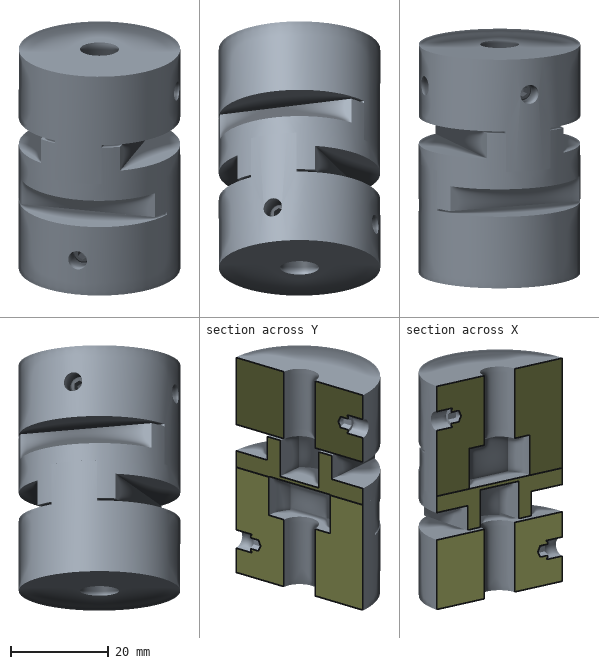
import cadquery as cq
import math

COUPLING_LENGTH = 48.0
COUPLING_DIAMETER = 33.3
RADIUS = COUPLING_DIAMETER / 2

HUB_LENGTH = 15.0
BORE_DIAMETER = 8.0
LUG_LENGTH = 8.55
LUG_WIDTH = 10.0
LUG_INNER_RADIUS = BORE_DIAMETER

SCREW_DIAMETER = 4.0
SCREW_HEIGHT = HUB_LENGTH / 2
SCREW_SINK = 3.85
SCREW_CHAMFER = 0.35
SOCKET_FLATS = 2.0
SOCKET_DEPTH = 2.0
SOCKET_POINT_DEPTH = 0.6

END_GAP = 0.55
RIDGE_WIDTH = 17.0
RIDGE_HEIGHT = 5.25
DISC_LENGTH = COUPLING_LENGTH - 2 * (HUB_LENGTH + END_GAP)
SLOT_DEPTH = LUG_LENGTH - END_GAP

FLIP_AXIS = (0.5, -0.5, 0)


def cylinder(diameter, length):
    """Cylinder on the Z axis, standing on the XY plane."""
    return cq.Workplane("XY").circle(diameter / 2).extrude(length)


def bar_along_x(width, bottom, height):
    """Bar across the full diameter along X, centred in Y."""
    return (
        cq.Workplane("XY")
        .workplane(offset=bottom)
        .rect(COUPLING_DIAMETER, width)
        .extrude(height)
    )


def flip(body):
    """Turn a body end for end about the middle of the coupling, X onto -Y."""
    middle = COUPLING_LENGTH / 2
    centre = cq.Vector(0, 0, middle)
    return body.rotate(centre, centre + cq.Vector(*FLIP_AXIS), 180)


def screw_recess():
    """Empty space above and in a set screw whose axis runs along +X from the -X side."""
    screw_radius = SCREW_DIAMETER / 2
    face_x = SCREW_SINK - RADIUS
    face_plane = cq.Workplane("YZ", origin=(face_x, 0, SCREW_HEIGHT))

    hole = face_plane.circle(screw_radius).extrude(-2 * SCREW_SINK)

    ring = face_plane.circle(screw_radius).extrude(SCREW_CHAMFER)
    chamfered_end = cq.Workplane(
        cq.Solid.makeCone(
            screw_radius - SCREW_CHAMFER, screw_radius, SCREW_CHAMFER,
            pnt=cq.Vector(face_x, 0, SCREW_HEIGHT), dir=cq.Vector(1, 0, 0),
        )
    )

    corner_radius = SOCKET_FLATS / (2 * math.cos(math.pi / 6))
    socket_plane = face_plane.transformed(rotate=(0, 0, 90))
    socket = socket_plane.polygon(6, 2 * corner_radius).extrude(SOCKET_DEPTH)
    point_envelope = socket.translate((SOCKET_DEPTH, 0, 0))
    point = point_envelope.intersect(
        cq.Workplane(
            cq.Solid.makeCone(
                corner_radius, 0, SOCKET_POINT_DEPTH,
                pnt=cq.Vector(face_x + SOCKET_DEPTH, 0, SCREW_HEIGHT), dir=cq.Vector(1, 0, 0),
            )
        )
    )
    return hole.union(ring.cut(chamfered_end)).union(socket).union(point)


def make_hub():
    """Lower hub: bored cylinder, two lugs on the X axis, screws on the -X and -Y sides."""
    lugs = (
        bar_along_x(LUG_WIDTH, HUB_LENGTH, LUG_LENGTH)
        .intersect(cylinder(COUPLING_DIAMETER, COUPLING_LENGTH))
        .cut(cylinder(2 * LUG_INNER_RADIUS, COUPLING_LENGTH))
    )
    hub = cylinder(COUPLING_DIAMETER, HUB_LENGTH).union(lugs)
    hub = hub.cut(cylinder(BORE_DIAMETER, HUB_LENGTH))
    for angle in (0, 90):
        hub = hub.cut(screw_recess().rotate((0, 0, 0), (0, 0, 1), angle))
    return hub


def make_disc():
    """Centre disc with crossed ridges, each split by a slot for the lugs of one hub."""
    bottom = HUB_LENGTH + END_GAP
    round_bar = cylinder(COUPLING_DIAMETER, DISC_LENGTH).translate((0, 0, bottom))
    ridge = bar_along_x(RIDGE_WIDTH, bottom, RIDGE_HEIGHT)
    beside_ridge = cylinder(COUPLING_DIAMETER, RIDGE_HEIGHT).translate((0, 0, bottom)).cut(ridge)
    slot = bar_along_x(LUG_WIDTH, bottom, SLOT_DEPTH)
    lower_cut = beside_ridge.union(slot)
    return round_bar.cut(lower_cut).cut(flip(lower_cut))


lower_hub = make_hub()
upper_hub = flip(lower_hub)
disc = make_disc()

result = cq.Compound.makeCompound([lower_hub.val(), disc.val(), upper_hub.val()])